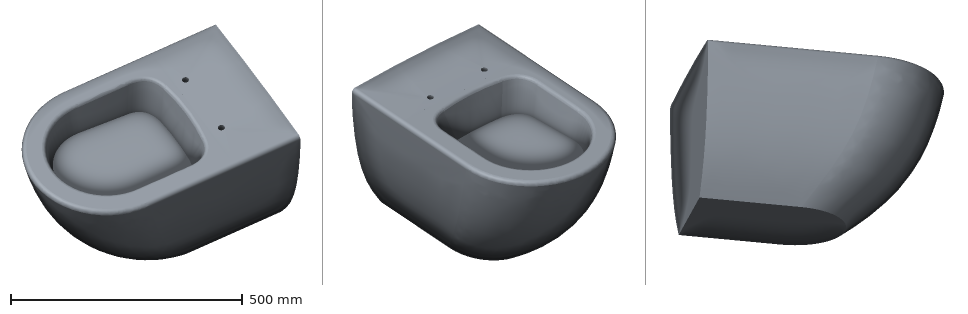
import cadquery as cq


SHELL_SECTIONS = [
    (0.0, 101.0, 346.0, 120.0),
    (60.0, 135.5, 416.5, 147.0),
    (116.0, 157.0, 467.5, 163.0),
    (186.0, 172.8, 512.0, 175.0),
    (276.0, 183.0, 546.5, 183.0),
    (330.5, 184.6, 560.0, 184.6),
]

RIM_BASE, RIM_HALF_WIDTH, RIM_REACH, RIM_NOSE = SHELL_SECTIONS[-1]
RIM_THICKNESS = 10.0
RIM_ROUND = 9.9
RIM_TOP = RIM_BASE + RIM_THICKNESS

OVERALL_HEIGHT = 345.0
CROWN_RISE = OVERALL_HEIGHT - RIM_TOP
DECK_INSET = 12.0
DECK_HALF_WIDTH = RIM_HALF_WIDTH - DECK_INSET
DECK_LENGTH = 161.0
CROWN_EDGE_RISE = 0.02

MOUTH_HALF_WIDTH = 133.8
MOUTH_BACK = 177.0
MOUTH_CORNER = (87.0, 185.0)
MOUTH_SIDE_START = 245.0
MOUTH_FRONT = 509.5
BOWL_DEPTH = 82.0
BOWL_FLOOR = RIM_TOP - BOWL_DEPTH
CORNER_RUN = (1.0, -0.2)
FLOOR_HALF_WIDTH = 112.5
FLOOR_BACK = 203.0
FLOOR_CORNER = (64.0, 206.0)
FLOOR_SIDE_START = 258.0
FLOOR_FRONT = 494.5
FLOOR_TILT = 4.8
LIP_ROUND = 9.0

HOLE_DIAMETER = 15.0
HOLE_SPACING = 155.0
HOLE_SETBACK = 135.0
HOLE_DEPTH = 60.0


def d_outline(height, half_width, reach, nose_length):
    """Flat-backed outline with straight sides and a half-elliptical nose."""
    nose_start = nose_length - reach
    return (
        cq.Workplane("XY", origin=(0, 0, height))
        .moveTo(half_width, 0)
        .lineTo(-half_width, 0)
        .lineTo(-half_width, nose_start)
        .ellipseArc(half_width, nose_length, 180, 360, sense=1)
        .close()
    )


def make_shell():
    """Smooth skin through the D sections."""
    wires = [d_outline(*section).wires().val() for section in SHELL_SECTIONS]
    return cq.Workplane(cq.Solid.makeLoft(wires))


def make_rim():
    """Band on top of the shell, rounded along its sides and nose."""
    band = d_outline(RIM_BASE, RIM_HALF_WIDTH, RIM_REACH, RIM_NOSE).extrude(RIM_THICKNESS)
    return band.faces(">Z").edges("not >Y").fillet(RIM_ROUND)


def make_deck_crown():
    """Shallow crown, highest at the wall and fading out at the front of the deck."""
    def arch(y, rise):
        """Arched cross-section of the deck at one distance from the wall."""
        return (
            cq.Workplane("XZ", origin=(0, y, 0))
            .moveTo(-DECK_HALF_WIDTH, RIM_BASE)
            .lineTo(-DECK_HALF_WIDTH, RIM_TOP)
            .threePointArc((0, RIM_TOP + rise), (DECK_HALF_WIDTH, RIM_TOP))
            .lineTo(DECK_HALF_WIDTH, RIM_BASE)
            .close()
            .wires()
            .val()
        )
    arches = [arch(0, CROWN_RISE), arch(-DECK_LENGTH, CROWN_EDGE_RISE)]
    return cq.Workplane(cq.Solid.makeLoft(arches, True))


def bowl_outline(height, half_width, back, back_corner, side_start, front):
    """Bowl outline: arched back, rounded back corners, straight sides and a half-round nose.

    back_corner is the half width and setback where the arched back meets the corner curve.
    Distances from the wall are positive.
    """
    corner_x, corner_setback = back_corner
    run_x, run_y = CORNER_RUN
    left_corner = (-corner_x, -corner_setback)
    right_corner = (corner_x, -corner_setback)
    side_end = front - half_width
    return (
        cq.Workplane("XY", origin=(0, 0, height))
        .moveTo(*left_corner)
        .threePointArc((0, -back), right_corner)
        .spline([(half_width, -side_start)], tangents=[(run_x, run_y), (0, -1)], includeCurrent=True)
        .lineTo(half_width, -side_end)
        .threePointArc((0, -front), (-half_width, -side_end))
        .lineTo(-half_width, -side_start)
        .spline([left_corner], tangents=[(0, 1), (run_x, -run_y)], includeCurrent=True)
        .close()
        .wires()
        .val()
    )


def make_bowl():
    """Tapered cavity between the tilted floor outline and the mouth outline."""
    level_floor = bowl_outline(
        height=BOWL_FLOOR,
        half_width=FLOOR_HALF_WIDTH,
        back=FLOOR_BACK,
        back_corner=FLOOR_CORNER,
        side_start=FLOOR_SIDE_START,
        front=FLOOR_FRONT,
    )
    tilt_axis = [(x, -FLOOR_BACK, BOWL_FLOOR) for x in (0, 1)]
    floor = level_floor.rotate(*tilt_axis, -FLOOR_TILT)
    mouth = bowl_outline(
        height=RIM_TOP,
        half_width=MOUTH_HALF_WIDTH,
        back=MOUTH_BACK,
        back_corner=MOUTH_CORNER,
        side_start=MOUTH_SIDE_START,
        front=MOUTH_FRONT,
    )
    return cq.Workplane(cq.Solid.makeLoft([floor, mouth], True))


def make_seat_holes():
    """Pair of blind fixing holes through the deck."""
    half_spacing = HOLE_SPACING / 2
    return (
        cq.Workplane("XY", origin=(0, 0, OVERALL_HEIGHT - HOLE_DEPTH))
        .pushPoints([(-half_spacing, -HOLE_SETBACK), (half_spacing, -HOLE_SETBACK)])
        .circle(HOLE_DIAMETER / 2)
        .extrude(HOLE_DEPTH)
    )


def round_lip(body):
    """Round the edge where the bowl meets the rim top."""
    margin = 1.0
    mouth_edges = cq.selectors.BoxSelector(
        (-MOUTH_HALF_WIDTH - margin, -MOUTH_FRONT - margin, RIM_TOP - margin),
        (MOUTH_HALF_WIDTH + margin, -MOUTH_BACK + margin, RIM_TOP + margin),
        boundingbox=True,
    )
    return body.edges(mouth_edges).fillet(LIP_ROUND)


pan = make_shell().union(make_rim()).union(make_deck_crown())
pan = round_lip(pan.cut(make_bowl()))
result = pan.cut(make_seat_holes())